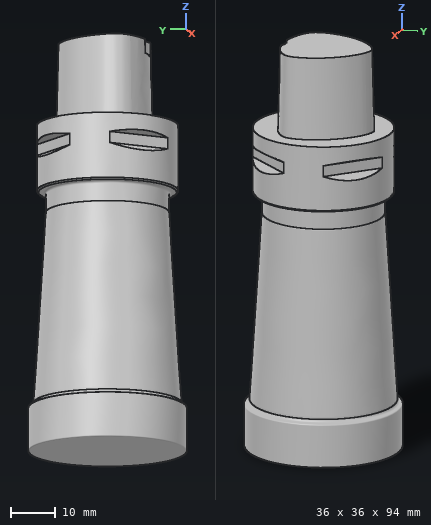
import cadquery as cq
import math

NUT_TOP = 11.1
CONE_BOTTOM = 11.7
NECK_BOTTOM = 55.0
FLANGE_BOTTOM = 59.6
FLANGE_TOP = 74.9
TOTAL_HEIGHT = 94.0

NUT_RADIUS = 18.0
CONE_BOTTOM_RADIUS = 16.7
NECK_RADIUS = 27.8 / 2
FLANGE_RADIUS = 32.0 / 2
FLANGE_CHAMFER = 0.4
NECK_FILLET = 0.6
CONE_SHOULDER_WIDTH = 0.1
CONE_SHOULDER_HEIGHT = 0.3

NUT_SHOULDER_RADIUS = 0.4
NUT_BOTTOM_FILLET = 0.3

SHANK_BASE_RADIUS = 10.9
SHANK_TOP_RADIUS = 10.4
LOBE_HEIGHT = 0.9
LOBE_COUNT = 3
LOBE_DIRECTION = 90
LOBE_HALF_ANGLE = 28
POINTS_PER_SPAN = 9

KEYWAY_RADIUS = 4.3
KEYWAY_FLOOR_Y = -8.8
KEYWAY_HEIGHT = 3.2

GROOVE_COUNT = 4
GROOVE_START_ANGLE = 45
GROOVE_FLOOR_DISTANCE = 14.1
GROOVE_FLOOR_BOTTOM = 68.0
GROOVE_FLOOR_TOP = 70.5
GROOVE_MOUTH_BOTTOM = 66.7
GROOVE_MOUTH_TOP = 71.3


def lobed_point(mean_radius, angle, z):
    """Point of the constant-width lobed curve whose outward normal has this angle in degrees."""
    normal = math.radians(angle)
    phase = LOBE_COUNT * math.radians(angle - LOBE_DIRECTION)
    reach = mean_radius + LOBE_HEIGHT * math.cos(phase)
    slope = -LOBE_COUNT * LOBE_HEIGHT * math.sin(phase)
    return cq.Vector(
        reach * math.cos(normal) - slope * math.sin(normal),
        reach * math.sin(normal) + slope * math.cos(normal),
        z,
    )


def lobed_span(mean_radius, start, end, z):
    """One smooth edge of the lobed curve between two normal angles."""
    step = (end - start) / (POINTS_PER_SPAN - 1)
    points = [lobed_point(mean_radius, start + i * step, z) for i in range(POINTS_PER_SPAN)]
    tangents = []
    for angle in (start, end):
        normal = math.radians(angle)
        tangents.append(cq.Vector(-math.sin(normal), math.cos(normal), 0))
    return cq.Edge.makeSpline(points, tangents=tangents)


def lobed_wire(mean_radius, z):
    """Closed outline of alternating tight lobes and flat flanks."""
    pitch = 360 / LOBE_COUNT
    edges = []
    for i in range(LOBE_COUNT):
        lobe = LOBE_DIRECTION + i * pitch
        lobe_end = lobe + LOBE_HALF_ANGLE
        edges.append(lobed_span(mean_radius, lobe - LOBE_HALF_ANGLE, lobe_end, z))
        edges.append(lobed_span(mean_radius, lobe_end, lobe + pitch - LOBE_HALF_ANGLE, z))
    return cq.Wire.assembleEdges(edges)


def make_shank():
    base = lobed_wire(SHANK_BASE_RADIUS, FLANGE_TOP)
    tip = lobed_wire(SHANK_TOP_RADIUS, TOTAL_HEIGHT)
    shank = cq.Workplane(cq.Solid.makeLoft([base, tip], True))
    keyway = (
        cq.Workplane("XY", origin=(0, KEYWAY_FLOOR_Y - KEYWAY_RADIUS, TOTAL_HEIGHT - KEYWAY_HEIGHT))
        .circle(KEYWAY_RADIUS)
        .extrude(KEYWAY_HEIGHT)
    )
    return shank.cut(keyway)


def make_groove(angle):
    """Trapezoidal cutter, straight along the tangent and opening outward at the given angle."""
    return (
        cq.Workplane("XZ")
        .moveTo(GROOVE_FLOOR_DISTANCE, GROOVE_FLOOR_BOTTOM)
        .lineTo(FLANGE_RADIUS, GROOVE_MOUTH_BOTTOM)
        .lineTo(FLANGE_RADIUS, GROOVE_MOUTH_TOP)
        .lineTo(GROOVE_FLOOR_DISTANCE, GROOVE_FLOOR_TOP)
        .close()
        .extrude(FLANGE_RADIUS, both=True)
        .rotate((0, 0, 0), (0, 0, 1), angle)
    )


def make_holder():
    """Turned cone, neck and flange, carrying the lobed shank."""
    neck_arc_mid = NECK_FILLET * (1 - math.sqrt(0.5))
    holder = (
        cq.Workplane("XZ")
        .moveTo(0, NUT_TOP)
        .lineTo(CONE_BOTTOM_RADIUS, NUT_TOP)
        .lineTo(CONE_BOTTOM_RADIUS, CONE_BOTTOM)
        .lineTo(NECK_RADIUS + CONE_SHOULDER_WIDTH, NECK_BOTTOM - CONE_SHOULDER_HEIGHT)
        .lineTo(NECK_RADIUS, NECK_BOTTOM)
        .lineTo(NECK_RADIUS, FLANGE_BOTTOM - NECK_FILLET)
        .threePointArc(
            (NECK_RADIUS + neck_arc_mid, FLANGE_BOTTOM - neck_arc_mid),
            (NECK_RADIUS + NECK_FILLET, FLANGE_BOTTOM),
        )
        .lineTo(FLANGE_RADIUS - FLANGE_CHAMFER, FLANGE_BOTTOM)
        .lineTo(FLANGE_RADIUS, FLANGE_BOTTOM + FLANGE_CHAMFER)
        .lineTo(FLANGE_RADIUS, FLANGE_TOP)
        .lineTo(0, FLANGE_TOP)
        .close()
        .revolve(360, (0, 0, 0), (0, 1, 0))
    )
    for i in range(GROOVE_COUNT):
        holder = holder.cut(make_groove(GROOVE_START_ANGLE + i * 360 / GROOVE_COUNT))
    return holder.union(make_shank())


def make_nut():
    """Round nut seated against the flat lower face of the holder."""
    blend_radius = NUT_RADIUS - NUT_SHOULDER_RADIUS - CONE_BOTTOM_RADIUS
    shoulder_top = NUT_TOP - blend_radius
    blend_mid = blend_radius * (1 - math.sqrt(0.5))
    return (
        cq.Workplane("XZ")
        .lineTo(NUT_RADIUS, 0)
        .lineTo(NUT_RADIUS, shoulder_top - NUT_SHOULDER_RADIUS)
        .radiusArc((NUT_RADIUS - NUT_SHOULDER_RADIUS, shoulder_top), -NUT_SHOULDER_RADIUS)
        .threePointArc(
            (CONE_BOTTOM_RADIUS + blend_mid, shoulder_top + blend_mid),
            (CONE_BOTTOM_RADIUS, NUT_TOP),
        )
        .lineTo(0, NUT_TOP)
        .close()
        .revolve(360, (0, 0, 0), (0, 1, 0))
        .faces("<Z")
        .edges()
        .fillet(NUT_BOTTOM_FILLET)
    )


holder = make_holder()
nut = make_nut()

result = cq.Compound.makeCompound([holder.val(), nut.val()])